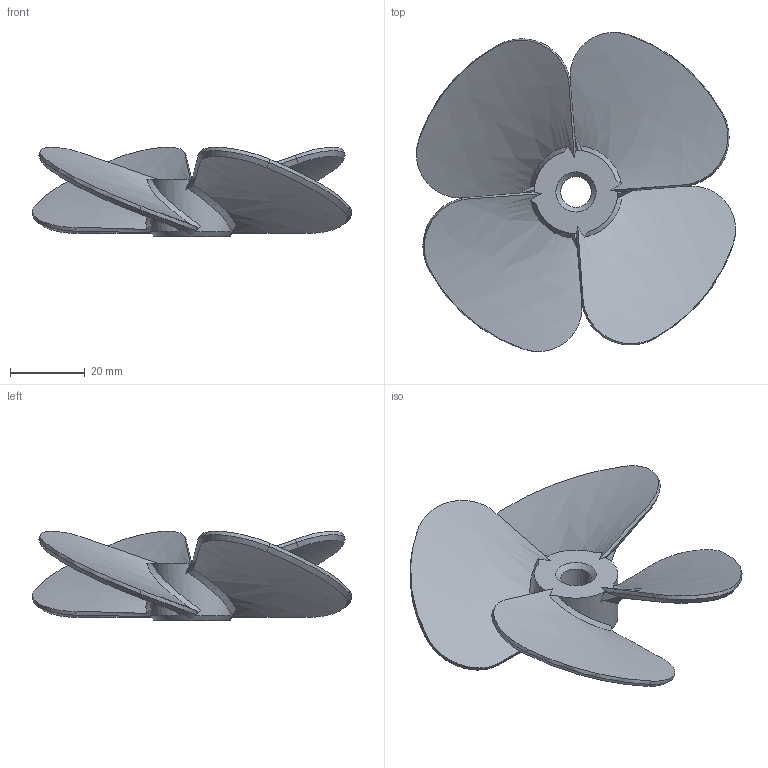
import cadquery as cq
import math

hub_radius = 11.2
hub_height = 15.4
hub_foot_chamfer_height = 1.35
hub_foot_chamfer_width = 1.0
bore_radius = 4.15
bore_mouth_chamfer = 1.25

blade_count = 4
blade_thickness = 2.15
rim_chamfer = 1.15
root_chamfer = 1.2

low_edge_height = 3.1
climb_at_axis = 9.3
climb_growth = 0.369

tip_radius = 44.43
low_edge_offset = 1.6
low_corner_radius = 11.7
high_corner_radius = 13.0
high_edge_offset = 1.8
high_edge_start_offset = 0.3
outline_start_radius = 7.0

face_inner_radius = 4.0
face_outer_radius = 50.0
face_start_angle = math.radians(-115)
face_end_angle = math.radians(28)
face_guide_steps = 16

web_tip = (0.6, -15.8, 15.6)
web_hub_low = (-2.15, -10.0, 12.1)
web_hub_high = (-0.85, -10.0, 15.3)
web_buried = (2.0, -9.5, 12.5)


def polar(radius, angle):
    """Plan position at a radius and an angle from the +X axis."""
    return radius * math.cos(angle), radius * math.sin(angle)


def face_height(radius, angle):
    """Height of the blade face: straight along each radius, and rising from +X towards -Y."""
    quarter_turns = -angle / math.radians(90)
    return low_edge_height + quarter_turns * (climb_at_axis + climb_growth * radius)


def face_guide(radius):
    """Curve of the blade face at a constant radius."""
    points = []
    parameters = []
    for step in range(face_guide_steps + 1):
        fraction = step / face_guide_steps
        angle = face_start_angle + fraction * (face_end_angle - face_start_angle)
        points.append(cq.Vector(*polar(radius, angle), face_height(radius, angle)))
        parameters.append(fraction)
    return cq.Edge.makeSpline(points, parameters=parameters)


def blade_outline():
    """Two nearly radial edges, a tip arc around the hub axis and corner arcs tangent to it."""
    low_center_y = low_edge_offset - low_corner_radius
    low_center_x = math.sqrt((tip_radius - low_corner_radius) ** 2 - low_center_y**2)
    low_angle = math.atan2(low_center_y, low_center_x)
    low_mid = polar(low_corner_radius, (low_angle + math.radians(90)) / 2)

    high_center_x = high_edge_offset + high_corner_radius
    high_center_y = -math.sqrt((tip_radius - high_corner_radius) ** 2 - high_center_x**2)
    high_angle = math.atan2(high_center_y, high_center_x)
    high_mid = polar(high_corner_radius, (high_angle - math.radians(180)) / 2)

    return (
        cq.Workplane("XY")
        .moveTo(outline_start_radius, low_edge_offset)
        .lineTo(low_center_x, low_edge_offset)
        .threePointArc(
            (low_center_x + low_mid[0], low_center_y + low_mid[1]),
            polar(tip_radius, low_angle),
        )
        .threePointArc(polar(tip_radius, (low_angle + high_angle) / 2), polar(tip_radius, high_angle))
        .threePointArc(
            (high_center_x + high_mid[0], high_center_y + high_mid[1]),
            (high_edge_offset, high_center_y),
        )
        .lineTo(high_edge_start_offset, -outline_start_radius)
        .close()
    )


def make_blade():
    """Blade face trimmed to the outline, thickened downwards, with its lower rim chamfered."""
    surface = cq.Face.makeRuledSurface(face_guide(face_inner_radius), face_guide(face_outer_radius))
    column = blade_outline().extrude(face_outer_radius, both=True).val()
    face = surface.intersect(column).Faces()[0]
    towards_down = -1 if face.normalAt().z > 0 else 1
    plate = face.thicken(towards_down * blade_thickness)

    underside = min(plate.Faces(), key=lambda side: side.normalAt().z)
    rim_edges = []
    for edge in underside.Edges():
        middle = edge.Center()
        if math.hypot(middle.x, middle.y) > hub_radius:
            rim_edges.append(edge)
    return plate.chamfer(rim_chamfer, None, rim_edges)


def make_hub():
    """Round hub with a chamfered foot and a bore with a chamfered mouth."""
    profile = (
        cq.Workplane("XZ")
        .moveTo(bore_radius, 0)
        .lineTo(hub_radius - hub_foot_chamfer_width, 0)
        .lineTo(hub_radius, hub_foot_chamfer_height)
        .lineTo(hub_radius, hub_height)
        .lineTo(bore_radius + bore_mouth_chamfer, hub_height)
        .lineTo(bore_radius, hub_height - bore_mouth_chamfer)
        .close()
    )
    return profile.revolve(360, (0, 0, 0), (0, 1, 0))


def make_web():
    """Four-cornered web that carries the high edge of a blade into the hub."""
    corners = [web_tip, web_hub_low, web_hub_high, web_buried]
    faces = []
    for left_out in range(len(corners)):
        triangle = [corner for index, corner in enumerate(corners) if index != left_out]
        faces.append(cq.Face.makeFromWires(cq.Wire.makePolygon(triangle, close=True)))
    return cq.Solid.makeSolid(cq.Shell.makeShell(faces))


def place_around(body, shape):
    """Joins one copy of the shape to the body for every blade."""
    part = cq.Workplane(obj=shape)
    for index in range(blade_count):
        body = body.union(part.rotate((0, 0, 0), (0, 0, 1), index * 360 / blade_count))
    return body


def is_root_edge(edge):
    """True for the long slanting edges where a blade face meets the hub wall."""
    on_wall = True
    for fraction in (0, 0.3, 0.7, 1):
        point = edge.positionAt(fraction)
        on_wall = on_wall and math.isclose(math.hypot(point.x, point.y), hub_radius, abs_tol=0.02)
    box = edge.BoundingBox()
    return on_wall and box.zlen > hub_height / 2


def chamfer_roots(body):
    """Chamfers the joints between the hub wall and both faces of every blade."""
    solid = body.val().Solids()[0]
    root_edges = [edge for edge in solid.Edges() if is_root_edge(edge)]
    return cq.Workplane(obj=solid.chamfer(root_chamfer, None, root_edges))


blade_with_web = make_blade().fuse(make_web())
result = chamfer_roots(place_around(make_hub(), blade_with_web))